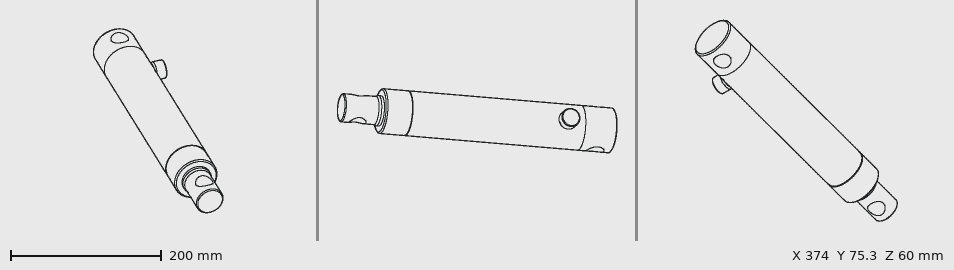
import cadquery as cq

overall_length = 374
barrel_diameter = 60.0
barrel_radius = barrel_diameter / 2

cap_end = 44.0
tube_end = 283.5
gland_end = 320.0

pin_hole_diameter = 23.2
cap_hole_x = 21.7
rod_hole_x = 351.5

cap_chamfer_length = 1.5
cap_chamfer_depth = 2.2
gland_joint_chamfer = 0.7
gland_face_chamfer = 2.0
rod_end_chamfer = 1.5

shaft_diameter = 40.5
eye_diameter = 37.8
shaft_taper_start = 324.0
shaft_taper_end = 327.2

port_x = 69.2
port_diameter = 25.0
port_outer_y = 45.3
port_seat_y = 29.0
port_outer_chamfer = 1.0
port_seat_chamfer = 2.2


def round_bar(start_x, end_x, diameter):
    """Solid cylinder along X between two stations."""
    return cq.Workplane("YZ", origin=(start_x, 0, 0)).circle(diameter / 2).extrude(end_x - start_x)


def cut_pin_hole(body, hole_x):
    """Cut a vertical pin hole right through a body."""
    drill = (
        cq.Workplane("XY", origin=(hole_x, 0, -barrel_radius))
        .circle(pin_hole_diameter / 2)
        .extrude(barrel_diameter)
    )
    return body.cut(drill)


def make_port():
    """Port boss with both rims chamfered."""
    return (
        cq.Workplane("XZ", origin=(port_x, port_seat_y, 0))
        .circle(port_diameter / 2)
        .extrude(port_seat_y - port_outer_y)
        .faces(">Y").chamfer(port_outer_chamfer)
        .faces("<Y").chamfer(port_seat_chamfer)
    )


def make_cap():
    """Closed end cap, turned with a shallow chamfer and cross drilled."""
    cap = (
        cq.Workplane("XY")
        .lineTo(0, barrel_radius - cap_chamfer_depth)
        .lineTo(cap_chamfer_length, barrel_radius)
        .lineTo(cap_end, barrel_radius)
        .lineTo(cap_end, 0)
        .close()
        .revolve(360, (0, 0, 0), (1, 0, 0))
    )
    return cut_pin_hole(cap, cap_hole_x)


def make_tube(port):
    """Barrel with a recess that matches the seat of the port."""
    return round_bar(cap_end, tube_end, barrel_diameter).cut(port)


def make_gland():
    """Head of the barrel, chamfered at the joint and at the outer face."""
    return (
        round_bar(tube_end, gland_end, barrel_diameter)
        .faces("<X").chamfer(gland_joint_chamfer)
        .faces(">X").chamfer(gland_face_chamfer)
    )


def make_rod():
    """Rod shaft that tapers down to a cross-drilled eye."""
    shaft_radius = shaft_diameter / 2
    eye_radius = eye_diameter / 2
    rod = (
        cq.Workplane("XY")
        .moveTo(gland_end, 0)
        .lineTo(gland_end, shaft_radius)
        .lineTo(shaft_taper_start, shaft_radius)
        .lineTo(shaft_taper_end, eye_radius)
        .lineTo(overall_length - rod_end_chamfer, eye_radius)
        .lineTo(overall_length, eye_radius - rod_end_chamfer)
        .lineTo(overall_length, 0)
        .close()
        .revolve(360, (gland_end, 0, 0), (overall_length, 0, 0))
    )
    return cut_pin_hole(rod, rod_hole_x)


port = make_port()
cap = make_cap()
tube = make_tube(port)
gland = make_gland()
rod = make_rod()

result = cq.Compound.makeCompound([cap.val(), tube.val(), gland.val(), rod.val(), port.val()])